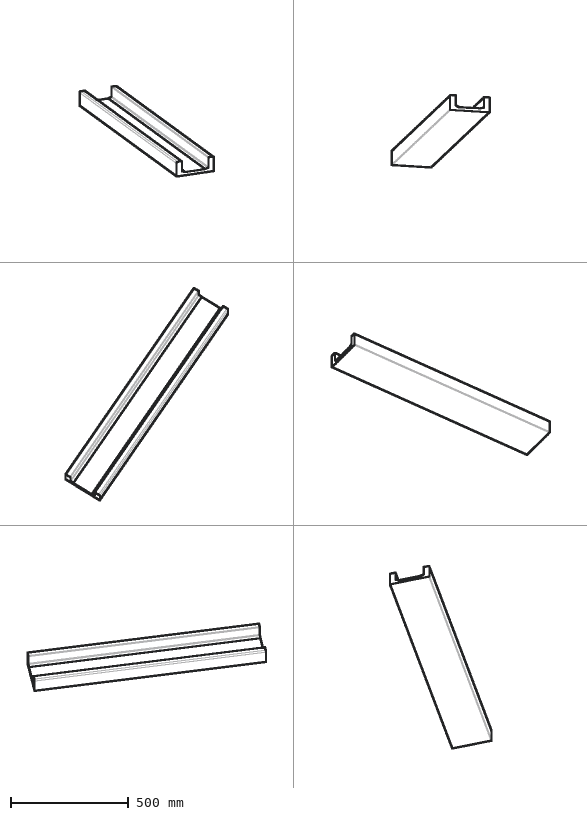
import cadquery as cq

length = 1000.0
width = 175.0
height = 66.0

wall = 26.0
floor = 15.0
haunch_run = 15.0
haunch_rise = 5.0
top_radius = 6.0
small_radius = 3.0
foot_radius = 4.0

groove_half = width / 2 - wall
haunch_top = floor + haunch_rise


def sharp_bar():
    """Plain bar along X, resting on Z = 0."""
    return cq.Workplane("XY").box(length, width, height, centered=(True, True, False))


def groove():
    """Full-length groove whose floor rises in a slope to meet each wall."""
    floor_half = groove_half - haunch_run
    section = [
        (-groove_half, height),
        (-groove_half, haunch_top),
        (-floor_half, floor),
        (floor_half, floor),
        (groove_half, haunch_top),
        (groove_half, height),
    ]
    return cq.Workplane("YZ", origin=(-length / 2, 0, 0)).polyline(section).close().extrude(length)


def long_edges_at(half_width, level):
    """Selector for the pair of lengthwise edges at Y = +-half_width, Z = level."""
    margin = 0.1
    boxes = [
        cq.selectors.BoxSelector(
            (-margin, side * half_width - margin, level - margin),
            (margin, side * half_width + margin, level + margin),
        )
        for side in (-1, 1)
    ]
    return boxes[0] + boxes[1]


channel = sharp_bar().cut(groove())

rounded_pairs = [
    (width / 2, height, top_radius),
    (width / 2, 0, small_radius),
    (groove_half, height, small_radius),
    (groove_half, haunch_top, foot_radius),
]
for half_width, level, radius in rounded_pairs:
    channel = channel.edges(long_edges_at(half_width, level)).fillet(radius)

result = channel